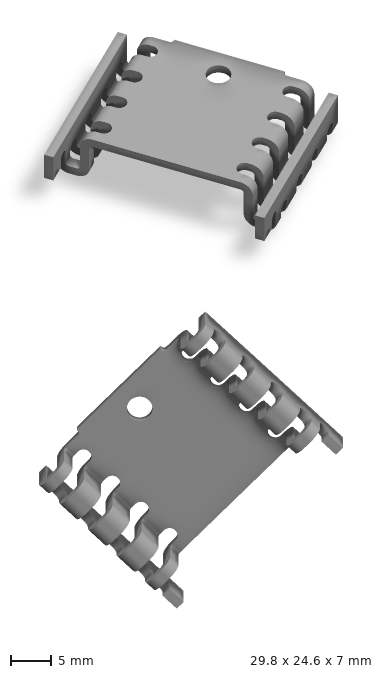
import cadquery as cq

WIDTH = 29.8
HEIGHT = 7.0
PLATE_LENGTH = 20.0
THICKNESS = 1.25

CHANNEL_GAP = 1.95
FLANGE_HEIGHT = 6.15
INNER_BEND = 0.45
OUTER_BEND = INNER_BEND + THICKNESS

TAB_WIDTH = 15.0
TAB_LENGTH = 0.6
TAB_FILLET = 0.5

LUG_REACH = 4.0
LUG_BOTTOM = 2.15
NOTCH_WIDTH = 1.5
NOTCH_TOP = 4.15

SLOT_COUNT = 4
SLOT_PITCH = PLATE_LENGTH / SLOT_COUNT
SLOT_WIDTH = 2.0
SLOT_INNER_END = 8.5
SLOT_TOP_IN_FLANGE = 3.2

HOLE_DIAMETER = 3.21
HOLE_FROM_REAR = 3.05

FLANGE_OUT = WIDTH / 2
FLANGE_IN = FLANGE_OUT - THICKNESS
WALL_OUT = FLANGE_IN - CHANNEL_GAP
WALL_IN = WALL_OUT - THICKNESS


def half_section():
    """Right half of the bent sheet, extruded from the front edge to the rear edge."""
    plate_under = HEIGHT - THICKNESS
    profile = (
        cq.Workplane("XZ")
        .moveTo(0, HEIGHT)
        .lineTo(WALL_OUT - OUTER_BEND, HEIGHT)
        .tangentArcPoint((WALL_OUT, HEIGHT - OUTER_BEND), relative=False)
        .lineTo(WALL_OUT, OUTER_BEND)
        .tangentArcPoint((WALL_OUT + INNER_BEND, THICKNESS), relative=False)
        .lineTo(FLANGE_IN - INNER_BEND, THICKNESS)
        .tangentArcPoint((FLANGE_IN, OUTER_BEND), relative=False)
        .lineTo(FLANGE_IN, FLANGE_HEIGHT)
        .lineTo(FLANGE_OUT, FLANGE_HEIGHT)
        .lineTo(FLANGE_OUT, OUTER_BEND)
        .tangentArcPoint((FLANGE_OUT - OUTER_BEND, 0), relative=False)
        .lineTo(WALL_IN + OUTER_BEND, 0)
        .tangentArcPoint((WALL_IN, OUTER_BEND), relative=False)
        .lineTo(WALL_IN, plate_under - INNER_BEND)
        .tangentArcPoint((WALL_IN - INNER_BEND, plate_under), relative=False)
        .lineTo(0, plate_under)
        .close()
    )
    return profile.extrude(-PLATE_LENGTH)


def lug():
    """Forward extension of the right flange, with a round-topped notch next to the plate's front edge."""
    notch_radius = NOTCH_WIDTH / 2
    notch_shoulder = NOTCH_TOP - notch_radius
    return (
        cq.Workplane("YZ", origin=(FLANGE_IN, 0, 0))
        .moveTo(0, FLANGE_HEIGHT)
        .lineTo(-LUG_REACH, FLANGE_HEIGHT)
        .lineTo(-LUG_REACH, LUG_BOTTOM)
        .lineTo(-NOTCH_WIDTH, LUG_BOTTOM)
        .lineTo(-NOTCH_WIDTH, notch_shoulder)
        .threePointArc((-notch_radius, NOTCH_TOP), (0, notch_shoulder))
        .close()
        .extrude(THICKNESS)
    )


def slot_cutter(y):
    """Slot centred at y: cuts plate and inner wall from above and the channel and flange from below."""
    radius = SLOT_WIDTH / 2
    end_centre = SLOT_INNER_END + radius
    low, high = y - radius, y + radius
    in_plate = (
        cq.Workplane("XY")
        .moveTo(FLANGE_IN, low)
        .lineTo(end_centre, low)
        .threePointArc((SLOT_INNER_END, y), (end_centre, high))
        .lineTo(FLANGE_IN, high)
        .close()
        .extrude(HEIGHT)
    )
    shoulder = SLOT_TOP_IN_FLANGE - radius
    in_flange = (
        cq.Workplane("YZ", origin=(FLANGE_IN, 0, 0))
        .moveTo(low, 0)
        .lineTo(low, shoulder)
        .threePointArc((y, SLOT_TOP_IN_FLANGE), (high, shoulder))
        .lineTo(high, 0)
        .close()
        .extrude(THICKNESS)
    )
    return in_plate.union(in_flange)


def tab():
    """Tab on the rear edge, flaring into the plate with a concave fillet on each side."""
    rear = PLATE_LENGTH + TAB_LENGTH
    half = TAB_WIDTH / 2
    foot = half + TAB_FILLET
    return (
        cq.Workplane("XY", origin=(0, 0, HEIGHT - THICKNESS))
        .moveTo(-foot, PLATE_LENGTH)
        .radiusArc((-half, PLATE_LENGTH + TAB_FILLET), -TAB_FILLET)
        .lineTo(-half, rear)
        .lineTo(half, rear)
        .lineTo(half, PLATE_LENGTH + TAB_FILLET)
        .radiusArc((foot, PLATE_LENGTH), -TAB_FILLET)
        .close()
        .extrude(THICKNESS)
    )


def mounting_hole():
    """Cylinder for the hole through the plate near its rear edge."""
    centre = (0, PLATE_LENGTH - HOLE_FROM_REAR)
    return cq.Workplane("XY").center(*centre).circle(HOLE_DIAMETER / 2).extrude(HEIGHT)


right_half = half_section().union(lug())
for index in range(SLOT_COUNT):
    right_half = right_half.cut(slot_cutter((index + 0.5) * SLOT_PITCH))

body = right_half.union(right_half.mirror("YZ"))
result = body.union(tab()).cut(mounting_hole())